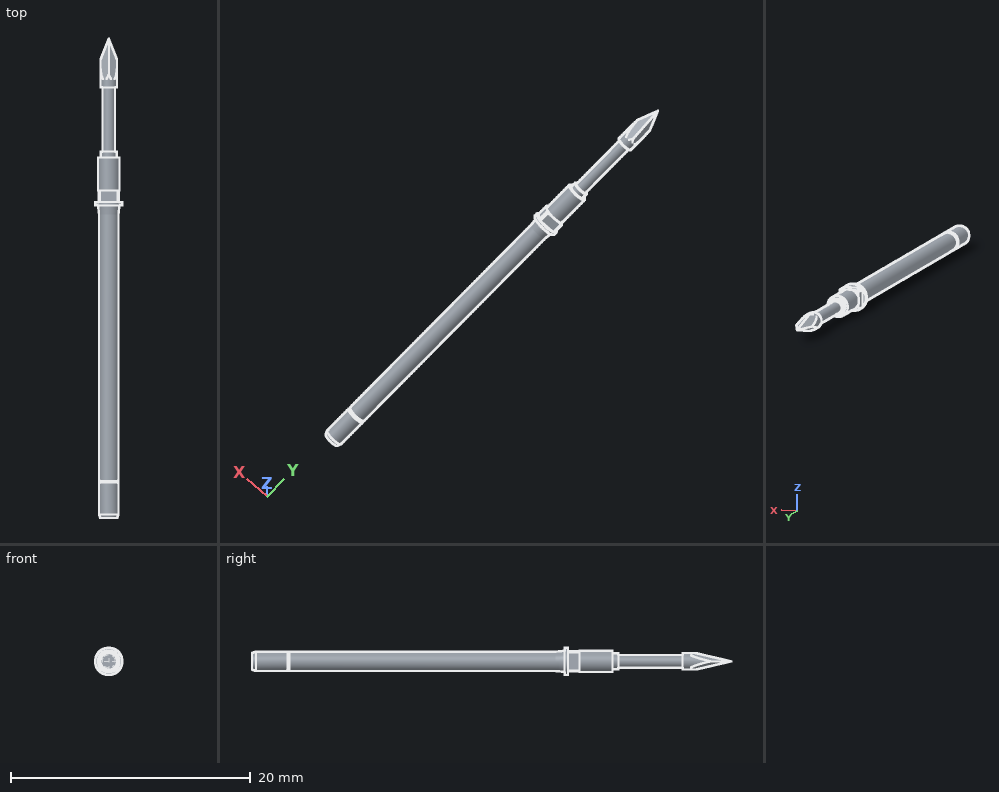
import cadquery as cq

LENGTH = 40.0

TUBE_DIA = 1.65
REAR_END_DIA = 1.4
GROOVE_DIA = 1.5
BODY_DIA = 1.8
FLANGE_DIA = 2.3
COLLAR_DIA = 1.35
STEM_DIA = 1.1
HEAD_DIA = 1.4

HEAD_BACK = 4.1
STEM_BACK = 9.45
BODY_FRONT = 9.9
SQUARE_FRONT = 12.7
FLANGE_FRONT = 13.65
FLANGE_BACK = 13.9
TAPER_BACK = 14.7
GROOVE_CENTRE = 36.95

GROOVE_WIDTH = 0.15
REAR_CHAMFER_LENGTH = 0.3

SQUARE_WIDTH = 1.7

SIDE_RIDGE_LENGTH = 1.75
TOP_RIDGE_LENGTH = 3.0


def round_section(front, back, dia, back_dia=None):
    """Cylinder, or cone when back_dia is given, between two distances back from the tip."""
    front_radius = dia / 2
    back_radius = (dia if back_dia is None else back_dia) / 2
    outline = [
        (0, LENGTH - front),
        (front_radius, LENGTH - front),
        (back_radius, LENGTH - back),
        (0, LENGTH - back),
    ]
    return cq.Workplane("XY").polyline(outline).close().revolve(360, (0, 0), (0, 1))


def pointed_head():
    """Cylinder cut to a four-sided point with a diamond-shaped cross-section."""
    half_width = HEAD_DIA / 2 * HEAD_BACK / SIDE_RIDGE_LENGTH
    half_height = HEAD_DIA / 2 * HEAD_BACK / TOP_RIDGE_LENGTH
    base = [(half_width, 0), (0, half_height), (-half_width, 0), (0, -half_height)]

    tip = cq.Vector(0, LENGTH, 0)
    corners = [cq.Vector(x, LENGTH - HEAD_BACK, z) for x, z in base]
    outlines = [corners]
    for index, corner in enumerate(corners):
        outlines.append([corners[index - 1], corner, tip])
    faces = [cq.Face.makeFromWires(cq.Wire.makePolygon(points, close=True)) for points in outlines]
    pyramid = cq.Solid.makeSolid(cq.Shell.makeShell(faces))
    return round_section(0, HEAD_BACK, HEAD_DIA).intersect(cq.Workplane(pyramid))


def square_section():
    """Four flats for a wrench, just in front of the flange."""
    length = FLANGE_FRONT - SQUARE_FRONT
    block = cq.Workplane("XY").box(SQUARE_WIDTH, length, SQUARE_WIDTH)
    block = block.translate((0, LENGTH - (SQUARE_FRONT + FLANGE_FRONT) / 2, 0))
    return block.intersect(round_section(SQUARE_FRONT, FLANGE_FRONT, FLANGE_DIA))


def tube():
    """Rear tube with a chamfered end and a shallow groove round it."""
    chamfer_start = LENGTH - REAR_CHAMFER_LENGTH
    barrel = round_section(TAPER_BACK, chamfer_start, TUBE_DIA)
    barrel = barrel.union(round_section(chamfer_start, LENGTH, TUBE_DIA, REAR_END_DIA))
    groove_front = GROOVE_CENTRE - GROOVE_WIDTH / 2
    groove_back = GROOVE_CENTRE + GROOVE_WIDTH / 2
    ring = round_section(groove_front, groove_back, FLANGE_DIA)
    ring = ring.cut(round_section(groove_front, groove_back, GROOVE_DIA))
    return barrel.cut(ring)


result = (
    pointed_head()
    .union(round_section(HEAD_BACK, STEM_BACK, STEM_DIA))
    .union(round_section(STEM_BACK, BODY_FRONT, COLLAR_DIA))
    .union(round_section(BODY_FRONT, SQUARE_FRONT, BODY_DIA))
    .union(square_section())
    .union(round_section(FLANGE_FRONT, FLANGE_BACK, FLANGE_DIA))
    .union(round_section(FLANGE_BACK, TAPER_BACK, BODY_DIA, TUBE_DIA))
    .union(tube())
)